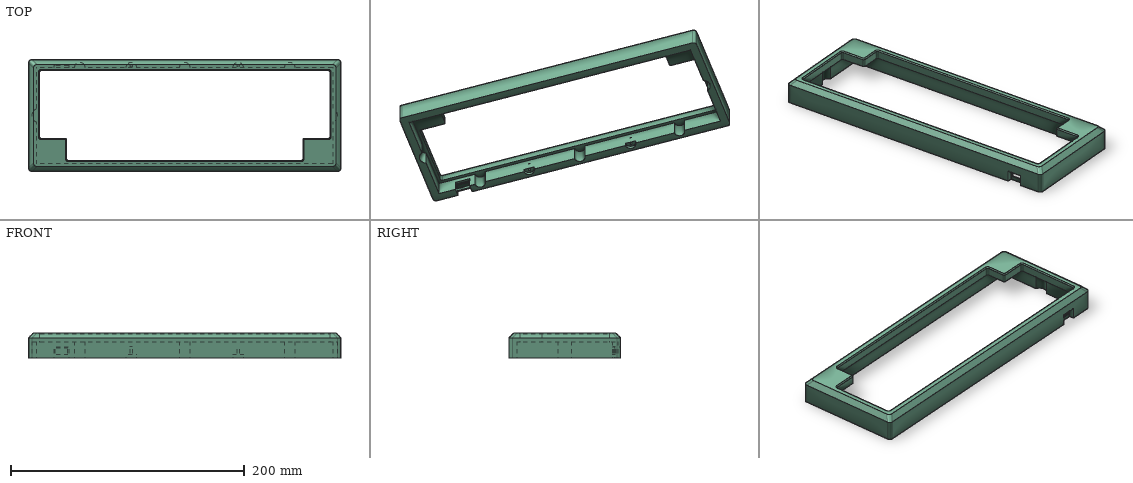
import cadquery as cq
length = 267.2
width = 95.7
height = 21.6
outer_bevel = 4.3
outer_corner_radius = 3.0

lip_width = 9.4
lip_thickness = 7.8
opening_corner_radius = 1.5
opening_chamfer = 1.0

block_length = 32.5
block_width = 28.3

wall = 7.0
cavity_top = height - lip_thickness
cavity_half_length = length / 2 - wall
cavity_half_width = width / 2 - wall

notch_radius = 4.5
notch_pitch = 89.8

low_notch_x = 45.7
low_notch_height = 3.0
screw_diameter = 2.0
screw_inset = 1.5
screw_hole_top = 10.0

end_notch_radius = 6.1
end_notch_inset = 2.1

socket_right = -99.1
socket_length = 12.8
socket_height = 9.5
socket_inner_depth = 2.0
socket_outer_depth = 4.0
window_side_margin = 1.0
window_bottom = 3.2
window_top = 8.5


def box_up(size_x, size_y, bottom, top):
    return (
        cq.Workplane("XY").workplane(offset=bottom)
        .rect(size_x, size_y).extrude(top - bottom)
    )


def cylinder_up(x, y, radius, top):
    return cq.Workplane("XY").center(x, y).circle(radius).extrude(top)


def rounded_outline(inset):
    outline = cq.Sketch().rect(length - 2 * inset, width - 2 * inset)
    return outline.vertices().fillet(outer_corner_radius)


def make_body():
    """Straight sides, then a bevel that carries the same corner radius up to the top face."""
    shoulder = height - outer_bevel
    sides = cq.Workplane("XY").placeSketch(rounded_outline(0)).extrude(shoulder)
    bevel = (
        sides.faces(">Z").workplane()
        .placeSketch(
            rounded_outline(0),
            rounded_outline(outer_bevel).moved(cq.Location(cq.Vector(0, 0, outer_bevel))),
        )
        .loft(ruled=True, combine=False)
    )
    return sides.union(bevel)


def make_opening():
    """T-shaped opening: full length at the rear, narrowed by the two corner blocks in front."""
    half_rear = length / 2 - lip_width
    half_front = length / 2 - block_length
    rear = width / 2 - lip_width
    step = -width / 2 + block_width
    front = -width / 2 + lip_width
    outline = cq.Workplane("XY").polyline([
        (-half_rear, rear), (half_rear, rear), (half_rear, step), (half_front, step),
        (half_front, front), (-half_front, front), (-half_front, step), (-half_rear, step),
    ]).close()
    return outline.extrude(height).edges("|Z").fillet(opening_corner_radius)


def cut_socket(body):
    """Recess the rear wall from both sides and open a window through the web left between."""
    x = socket_right - socket_length / 2
    window_length = socket_length - 2 * window_side_margin
    inner = box_up(socket_length, 2 * socket_inner_depth, 0, socket_height)
    outer = box_up(socket_length, 2 * socket_outer_depth, 0, socket_height)
    window = box_up(window_length, 2 * wall, window_bottom, window_top)
    body = body.cut(inner.translate((x, cavity_half_width, 0)))
    body = body.cut(outer.translate((x, width / 2, 0)))
    return body.cut(window.translate((x, width / 2, 0)))


result = make_body().cut(make_opening())
result = result.faces(">Z").wires(cq.selectors.LengthNthSelector(0)).chamfer(opening_chamfer)

result = result.cut(box_up(2 * cavity_half_length, 2 * cavity_half_width, 0, cavity_top))

for i in (-1, 0, 1):
    result = result.cut(cylinder_up(i * notch_pitch, cavity_half_width, notch_radius, cavity_top))

for side in (-1, 1):
    end_x = side * (cavity_half_length - end_notch_inset)
    low_x = side * low_notch_x
    screw_y = cavity_half_width + screw_inset
    result = result.cut(cylinder_up(end_x, 0, end_notch_radius, cavity_top))
    result = result.cut(cylinder_up(low_x, cavity_half_width, notch_radius, low_notch_height))
    result = result.cut(cylinder_up(low_x, screw_y, screw_diameter / 2, screw_hole_top))

result = cut_socket(result)